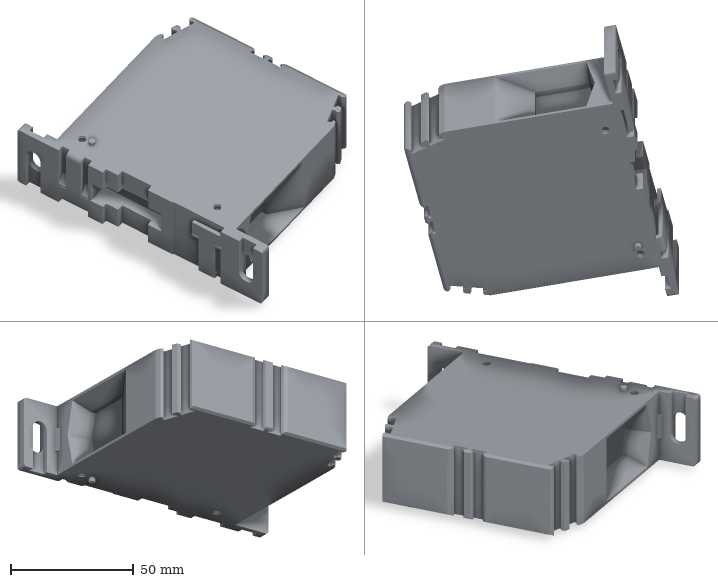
import cadquery as cq


LENGTH = 122.0
HEIGHT = 93.7
WIDTH = 30.7
HALF_Z = WIDTH / 2

WALL_X = 44.5
CAP_EDGE_Y = 92.1
CAP_RIM_Y = 93.6
CAP_RIM_INSET = 0.7
CREST_Y = 90.3
CREST_HALF = 7.6
RAIL_TOP_Y = 93.3

FLANGE_T = 4.9
FLANGE_CORNER_R = 1.2
SLOT_X = 53.1
SLOT_W = 7.1
SLOT_LENGTH = 12.9
RIB_HALF_Z = 5.1
RIB_X = 1.3
RIB_Y = 2.2

CLIP_SLOT_X = (-40.4, -25.7)
CLIP_SLOT_DEPTH = 2.8
RAIL_X = (-18.4, 14.9)
RAIL_DEPTH = 2.3
RAIL_DEEP_X = (-12.3, 2.3)
RAIL_DEEP_DEPTH = 5.2
RAIL_CHAMFER = 0.4
RELEASE_X = (-24.5, 8.9)
RELEASE_DEPTH = 9.8

CLIP_T = 1.7
CLIP_ROOT = 2.3
STEM_END_R = 2.0
STEM_X = (-36.7, -29.4)
HEAD_X = (-39.9, -26.1)
HEAD_Z = (-12.5, -5.6)
GUIDE_GAP = 0.4
SHOULDER_GAP = 0.2
GUIDE_LAND = 1.2
GUIDE_RAMP = 4.3

POCKET_TAPER = 8.5
POCKET_STRAIGHT = 2.6
POCKET_MOUTH = (54.0, 15.9, 14.2)
POCKET_FLOOR = (39.3, 16.6, 10.9)
POCKET_V_SLOPE = 0.25

STUD_X = 31.2
STUD_Y = 10.7
STUD_NECK_R = 1.2
STUD_HEAD_R = 1.5
STUD_NECK_H = 0.6
STUD_HEIGHT = 2.14
STUD_CHAMFER = 0.2
SOCKET_DEPTH = 2.2
SOCKET_R = 1.5
SOCKET_MOUTH_R = 1.8
SOCKET_MOUTH_DEPTH = 0.5
SPARE_SOCKET_X = -36.1

LABEL_HALF_X = 31.8
LABEL_Y = (61.1, 76.6)
LABEL_R = 1.2
LABEL_T = 0.5

FULL_Z = (-HALF_Z, HALF_Z)


def box(x_range, y_range, z_range):
    """Box between the given limits along each axis."""
    size = [high - low for low, high in (x_range, y_range, z_range)]
    return cq.Workplane("XY").box(*size, centered=False).translate((x_range[0], y_range[0], z_range[0]))


def both_ends(shape):
    """The shape as it stands, and its copy turned half round about the Y axis."""
    return [shape, shape.rotate((0, 0, 0), (0, 1, 0), 180)]


def along_z(outline):
    """Closed XY outline extruded over the housing width."""
    return outline.extrude(WIDTH).translate((0, 0, -HALF_Z))


def mirrored_outline(left):
    """XY outline closed from its left half, listed upward from the base, and the mirror image of it."""
    right = [(-x, y) for x, y in reversed(left)]
    return cq.Workplane("XY").polyline(left + right).close()


def upper_outline():
    """Upper housing outline with its shoulders, sloping flanks and hooked lips."""
    shoulder = [(-WALL_X, 0), (-WALL_X, 75.4), (-43.7, 77.8), (-42.5, 78.2), (-42.1, 76.6)]
    flank = [(-40.6, 76.2), (-35.9, 90.9)]
    hook = [(-36.8, 91.1), (-37.7, 90.6), (-38.9, 91.9), (-38.7, 93.0), (-38.1, HEIGHT)]
    lip = [(-8.9, HEIGHT), (-7.3, 93.1), (-6.6, 91.7), (-CREST_HALF, 91.5), (-CREST_HALF, CREST_Y)]
    return mirrored_outline(shoulder + flank + hook + lip)


def crest_rail():
    """Mushroom-shaped rail in the middle of the crest."""
    neck = [(-1.0, CREST_Y), (-1.0, 91.5)]
    head = [(-2.2, 91.7), (-2.0, 92.6), (-1.5, RAIL_TOP_Y)]
    return along_z(mirrored_outline(neck + head))


def flank_rail(side):
    """Hook-headed rail standing on one sloping flank; side is -1 for the left and 1 for the right."""
    head = [(39.2, 85.9), (41.0, 85.9), (42.0, 83.5), (40.9, 82.6), (39.8, 83.1)]
    neck = [(37.7, 82.5), (37.1, 84.3), (38.9, 84.9)]
    return along_z(cq.Workplane("XY").polyline([(side * x, y) for x, y in head + neck]).close())


def cap_envelope():
    """Cross-section that rounds the housing across its width at the caps."""
    rim_z = HALF_Z - CAP_RIM_INSET
    section = (
        cq.Workplane("YZ")
        .moveTo(0, -HALF_Z)
        .lineTo(CAP_EDGE_Y, -HALF_Z)
        .lineTo(CAP_RIM_Y, -rim_z)
        .threePointArc((HEIGHT, 0), (CAP_RIM_Y, rim_z))
        .lineTo(CAP_EDGE_Y, HALF_Z)
        .lineTo(0, HALF_Z)
        .close()
    )
    return section.extrude(WALL_X, both=True)


def flange():
    half = LENGTH / 2
    return box((-half, half), (0, FLANGE_T), FULL_Z).edges("|Y").fillet(FLANGE_CORNER_R)


def corner_rib(side):
    """Small triangular rib between the flange and a side wall."""
    foot = [
        (side * WALL_X, FLANGE_T),
        (side * (WALL_X + RIB_X), FLANGE_T),
        (side * WALL_X, FLANGE_T + RIB_Y),
    ]
    return cq.Workplane("XY").polyline(foot).close().extrude(RIB_HALF_Z, both=True)


def fixing_slot():
    """Left fixing slot: two half-thickness U cuts, open toward opposite edges."""
    radius = SLOT_W / 2
    centre_z = SLOT_LENGTH / 2 - radius
    x_range = (-SLOT_X - radius, -SLOT_X + radius)
    cut = None
    for y_low, z_low, z_high, round_z in (
        (0, -HALF_Z, centre_z, centre_z),
        (FLANGE_T / 2, -centre_z, HALF_Z, -centre_z),
    ):
        y_range = (y_low, y_low + FLANGE_T / 2)
        round_end = (
            cq.Workplane("XZ", origin=(-SLOT_X, y_range[1], round_z)).circle(radius).extrude(FLANGE_T / 2)
        )
        piece = box(x_range, y_range, (z_low, z_high)).union(round_end)
        cut = piece if cut is None else cut.union(piece)
    return cut


def side_pocket():
    """Five-sided pocket in the left wall, tapered at the mouth and straight inside."""

    def outline(top_y, corner_y, half_z):
        tip_y = corner_y - POCKET_V_SLOPE * half_z
        return [(top_y, -half_z), (top_y, half_z), (corner_y, half_z), (tip_y, 0), (corner_y, -half_z)]

    taper = (
        cq.Workplane("YZ", origin=(-WALL_X, 0, 0))
        .polyline(outline(*POCKET_MOUTH))
        .close()
        .workplane(offset=POCKET_TAPER)
        .polyline(outline(*POCKET_FLOOR))
        .close()
        .loft(ruled=True)
    )
    inner = (
        cq.Workplane("YZ", origin=(-WALL_X + POCKET_TAPER, 0, 0))
        .polyline(outline(*POCKET_FLOOR))
        .close()
        .extrude(POCKET_STRAIGHT)
    )
    return taper.union(inner)


def rail_recess():
    """Stepped recess for a rail, with small chamfers at its steps."""
    left, right = RAIL_X
    deep_left, deep_right = RAIL_DEEP_X
    profile = [
        (left, 0),
        (left, RAIL_DEPTH - RAIL_CHAMFER),
        (left + RAIL_CHAMFER, RAIL_DEPTH),
        (deep_left - RAIL_CHAMFER, RAIL_DEPTH),
        (deep_left, RAIL_DEPTH + RAIL_CHAMFER),
        (deep_left, RAIL_DEEP_DEPTH),
        (deep_right, RAIL_DEEP_DEPTH),
        (deep_right, RAIL_DEPTH + RAIL_CHAMFER),
        (deep_right + RAIL_CHAMFER, RAIL_DEPTH),
        (right, RAIL_DEPTH),
        (right, 0),
    ]
    return along_z(cq.Workplane("XY").polyline(profile).close())


def base_recesses():
    """Rail recess, release recess and the two clip slots in the base."""
    release = box(RELEASE_X, (0, RELEASE_DEPTH), (-RIB_HALF_Z, RIB_HALF_Z))
    left_slot = box(CLIP_SLOT_X, (0, CLIP_SLOT_DEPTH), FULL_Z)
    right_slot = box((RAIL_X[1], -CLIP_SLOT_X[0]), (0, CLIP_SLOT_DEPTH), FULL_Z)
    return [rail_recess(), release, left_slot, right_slot]


def clip():
    """Left T-shaped spring clip: it joins the slot floor only at the root behind the rounded stem end."""
    root_z = HALF_Z - CLIP_ROOT
    stem = (
        cq.Workplane("YZ", origin=(STEM_X[0], 0, 0))
        .moveTo(0, HEAD_Z[1])
        .lineTo(0, HALF_Z - STEM_END_R)
        .radiusArc((STEM_END_R, HALF_Z), STEM_END_R)
        .lineTo(CLIP_SLOT_DEPTH, HALF_Z)
        .lineTo(CLIP_SLOT_DEPTH, root_z)
        .lineTo(CLIP_T, root_z)
        .lineTo(CLIP_T, HEAD_Z[1])
        .close()
        .extrude(STEM_X[1] - STEM_X[0])
    )
    return stem.union(box(HEAD_X, (0, CLIP_T), HEAD_Z))


def clip_guide(x_low, x_high):
    """Ramped guide beside the left clip's stem, facing one shoulder of its head."""
    shoulder_z = HEAD_Z[1] + SHOULDER_GAP
    land_z = HEAD_Z[1] + GUIDE_LAND
    profile = [
        (CLIP_SLOT_DEPTH, shoulder_z),
        (0, shoulder_z),
        (0, land_z),
        (CLIP_SLOT_DEPTH, land_z + GUIDE_RAMP),
    ]
    return cq.Workplane("YZ", origin=(x_low, 0, 0)).polyline(profile).close().extrude(x_high - x_low)


def stud():
    """Snap stud on the upper face: a neck and a chamfered head."""
    neck = cq.Workplane("XY").circle(STUD_NECK_R).extrude(STUD_NECK_H)
    head = (
        cq.Workplane("XY", origin=(0, 0, STUD_NECK_H))
        .circle(STUD_HEAD_R)
        .extrude(STUD_HEIGHT - STUD_NECK_H)
        .faces(">Z")
        .chamfer(STUD_CHAMFER)
    )
    return neck.union(head).translate((-STUD_X, STUD_Y, HALF_Z))


def socket(x):
    """Blind socket with a wider mouth in the upper face."""
    bore = cq.Workplane("XY").circle(SOCKET_R).extrude(-SOCKET_DEPTH)
    mouth = cq.Workplane("XY").circle(SOCKET_MOUTH_R).extrude(-SOCKET_MOUTH_DEPTH)
    return bore.union(mouth).translate((x, STUD_Y, HALF_Z))


def make_label():
    """Rounded label in the upper face."""
    label = box((-LABEL_HALF_X, LABEL_HALF_X), LABEL_Y, (HALF_Z - LABEL_T, HALF_Z))
    return label.edges("|Z").fillet(LABEL_R)


def make_housing(label_shapes):
    body = along_z(upper_outline()).union(crest_rail())
    for side in (-1, 1):
        body = body.union(flank_rail(side))
    body = body.intersect(cap_envelope()).union(flange())
    for side in (-1, 1):
        body = body.union(corner_rib(side))
    for recess in base_recesses():
        body = body.cut(recess)
    outer_guide = clip_guide(CLIP_SLOT_X[0], STEM_X[0] - GUIDE_GAP)
    inner_guide = clip_guide(STEM_X[1] + GUIDE_GAP, CLIP_SLOT_X[1])
    for feature in (clip(), outer_guide, inner_guide, stud()):
        for shape in both_ends(feature):
            body = body.union(shape)
    for feature in (fixing_slot(), side_pocket(), socket(STUD_X), socket(SPARE_SOCKET_X)):
        for cut in both_ends(feature):
            body = body.cut(cut)
    for label in label_shapes:
        body = body.cut(label)
    return body


labels = both_ends(make_label())
housing = make_housing(labels)

result = cq.Compound.makeCompound([*housing.solids().vals(), *[label.val() for label in labels]])